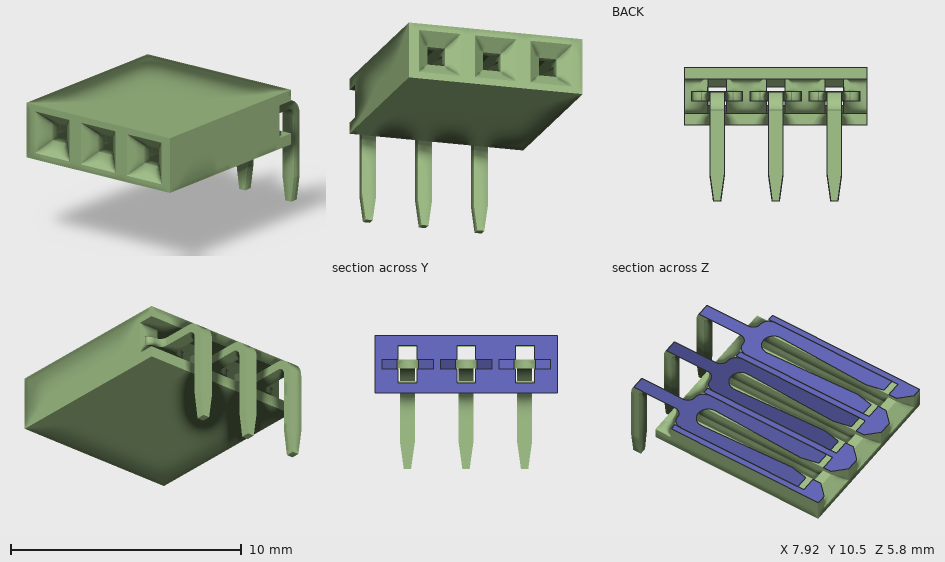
import cadquery as cq

CONTACT_COUNT = 3
PITCH = 2.54
CENTRES = [(i - (CONTACT_COUNT - 1) / 2) * PITCH for i in range(CONTACT_COUNT)]

WIDTH = 7.92
LENGTH = 8.5
HEIGHT = 2.5
MID_Z = HEIGHT / 2

RECESS_DEPTH = 0.8
LIP_THICKNESS = 0.5
RECESS_HEIGHT = HEIGHT - 2 * LIP_THICKNESS
RECESS_FLOOR = LENGTH - RECESS_DEPTH

FUNNEL_SIZE = 1.9
BORE_SIZE = 0.8
FUNNEL_DEPTH = (FUNNEL_SIZE - BORE_SIZE) / 2
CAVITY_FRONT = 0.97
CHANNEL_HEIGHT = 1.6

STRIP_THICKNESS = 0.4
STEM_WIDTH = 0.64
LEG_BACK = 10.5
OVERALL_HEIGHT = 5.8
LEG_TIP_Z = HEIGHT - OVERALL_HEIGHT
TIP_WIDTH = STEM_WIDTH / 2
TAPER_LENGTH = 1.14
BEND_INNER_RADIUS = 0.4
BEND_OUTER_RADIUS = BEND_INNER_RADIUS + STRIP_THICKNESS

NECK_RADIUS = 0.37
NECK_EXPOSED = 0.51
NECK_BACK = RECESS_FLOOR + NECK_EXPOSED
SHOULDER_RADIUS = 0.42
SHOULDER_Y = NECK_BACK - NECK_RADIUS
FORK_WIDTH = STEM_WIDTH + 2 * (NECK_RADIUS + SHOULDER_RADIUS)
THROAT_RADIUS = 0.51
THROAT_Y = SHOULDER_Y - STEM_WIDTH - THROAT_RADIUS
PINCH_GAP = STEM_WIDTH
PINCH_Y = 2.1
MOUTH_GAP = 0.99
MOUTH_Y = 1.26


def box(x, y_start, y_end, width, height):
    """Box along Y, centred on x and on the middle height."""
    length = y_end - y_start
    return cq.Workplane("XY").box(width, length, height).translate((x, y_start + length / 2, MID_Z))


def make_funnel(x):
    return (
        cq.Workplane("XZ", origin=(x, 0, MID_Z))
        .rect(FUNNEL_SIZE, FUNNEL_SIZE)
        .workplane(offset=-FUNNEL_DEPTH)
        .rect(BORE_SIZE, BORE_SIZE)
        .loft(ruled=True)
    )


def make_housing():
    body = box(0, 0, LENGTH, WIDTH, HEIGHT)
    body = body.cut(box(0, RECESS_FLOOR, LENGTH, WIDTH, RECESS_HEIGHT))
    for x in CENTRES:
        body = body.cut(make_funnel(x))
        body = body.cut(box(x, FUNNEL_DEPTH, CAVITY_FRONT, BORE_SIZE, BORE_SIZE))
        body = body.cut(box(x, CAVITY_FRONT, RECESS_FLOOR, BORE_SIZE, CHANNEL_HEIGHT))
        body = body.cut(box(x, CAVITY_FRONT, RECESS_FLOOR, FORK_WIDTH, STRIP_THICKNESS))
    return body


def make_fork():
    """Flat fork with a filleted neck and rounded shoulders."""
    half_stem = STEM_WIDTH / 2
    half_fork = FORK_WIDTH / 2
    outline = (
        cq.Workplane("XY", origin=(0, 0, MID_Z - STRIP_THICKNESS / 2))
        .moveTo(half_stem, LEG_BACK - BEND_OUTER_RADIUS)
        .lineTo(half_stem, NECK_BACK)
        .radiusArc((half_stem + NECK_RADIUS, SHOULDER_Y), -NECK_RADIUS)
        .radiusArc((half_fork, SHOULDER_Y - SHOULDER_RADIUS), SHOULDER_RADIUS)
        .lineTo(half_fork, MOUTH_Y)
        .lineTo(-half_fork, MOUTH_Y)
        .lineTo(-half_fork, SHOULDER_Y - SHOULDER_RADIUS)
        .radiusArc((-half_stem - NECK_RADIUS, SHOULDER_Y), SHOULDER_RADIUS)
        .radiusArc((-half_stem, NECK_BACK), -NECK_RADIUS)
        .lineTo(-half_stem, LEG_BACK - BEND_OUTER_RADIUS)
        .close()
        .extrude(STRIP_THICKNESS)
    )
    return outline.cut(make_fork_opening())


def make_fork_opening():
    """Space between the arms: round throat, narrow pinch, flared mouth."""
    return (
        cq.Workplane("XY", origin=(0, 0, MID_Z - STRIP_THICKNESS / 2))
        .moveTo(MOUTH_GAP / 2, MOUTH_Y)
        .lineTo(PINCH_GAP / 2, PINCH_Y)
        .lineTo(THROAT_RADIUS, THROAT_Y)
        .threePointArc((0, THROAT_Y + THROAT_RADIUS), (-THROAT_RADIUS, THROAT_Y))
        .lineTo(-PINCH_GAP / 2, PINCH_Y)
        .lineTo(-MOUTH_GAP / 2, MOUTH_Y)
        .close()
        .extrude(STRIP_THICKNESS)
    )


def make_leg():
    """Bend and vertical leg, with the sides tapered toward the tip."""
    top_z = MID_Z + STRIP_THICKNESS / 2
    bend_y = LEG_BACK - BEND_OUTER_RADIUS
    bend_z = top_z - BEND_OUTER_RADIUS
    bend = (
        cq.Workplane("YZ", origin=(-STEM_WIDTH / 2, 0, 0))
        .moveTo(bend_y, top_z)
        .radiusArc((LEG_BACK, bend_z), BEND_OUTER_RADIUS)
        .lineTo(LEG_BACK - STRIP_THICKNESS, bend_z)
        .radiusArc((bend_y, top_z - STRIP_THICKNESS), -BEND_INNER_RADIUS)
        .close()
        .extrude(STEM_WIDTH)
    )
    taper_z = LEG_TIP_Z + TAPER_LENGTH
    leg = (
        cq.Workplane("XZ", origin=(0, LEG_BACK, 0))
        .polyline([
            (-STEM_WIDTH / 2, bend_z),
            (STEM_WIDTH / 2, bend_z),
            (STEM_WIDTH / 2, taper_z),
            (TIP_WIDTH / 2, LEG_TIP_Z),
            (-TIP_WIDTH / 2, LEG_TIP_Z),
            (-STEM_WIDTH / 2, taper_z),
        ])
        .close()
        .extrude(STRIP_THICKNESS)
    )
    return bend.union(leg)


def make_contact(x):
    return make_fork().union(make_leg()).translate((x, 0, 0))


housing = make_housing()
contacts = [make_contact(x) for x in CENTRES]

result = cq.Compound.makeCompound([housing.val(), *[contact.val() for contact in contacts]])